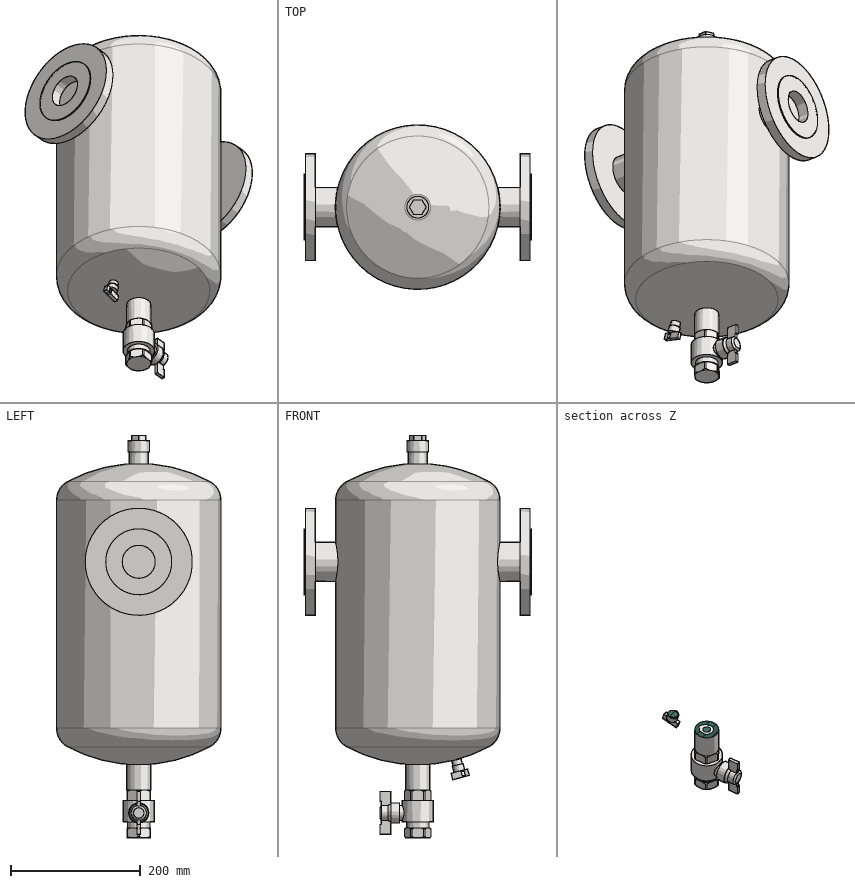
import cadquery as cq
import math

TOTAL_HEIGHT = 620.0
TOTAL_LENGTH = 350.0

VESSEL_DIAMETER = 253.5
VESSEL_RADIUS = VESSEL_DIAMETER / 2
LOWER_SEAM_Z = 169.0
UPPER_SEAM_Z = 520.0
CROWN_RADIUS = 229.5
KNUCKLE_RADIUS = 33.0
TOP_FLAT_RADIUS = 20.0

NOZZLE_Z = 425.5
NOZZLE_RADIUS = 30.5
NOZZLE_BORE_RADIUS = 25.5
FLANGE_RADIUS = 82.5
FLANGE_THICKNESS = 15.5
RAISED_FACE_RADIUS = 51.0
RAISED_FACE_HEIGHT = 2.0

VENT_STEM_RADIUS = 15.0
VENT_CAP_RADIUS = 17.0
VENT_CAP_BOTTOM_Z = 594.5
VENT_CAP_TOP_Z = 612.0
VENT_HEX_FLATS = 22.5
VENT_HEX_CORNERS = 25.5

DRAIN_PIPE_RADIUS = 18.5
VALVE_HEX_FLATS = 36.5
VALVE_HEX_CORNERS = 41.0
LOWER_HEX_HEIGHT = 15.5
VALVE_NECK_RADIUS = 17.5
VALVE_BODY_BOTTOM_Z = 25.0
VALVE_BODY_TOP_Z = 57.5
VALVE_BODY_RADIUS = 24.0
UPPER_HEX_TOP_Z = 74.0
VALVE_HEX_CHAMFER = 2.0

SPINDLE_Z = 38.5
SPINDLE_RADIUS = 12.0
SPINDLE_COLLAR_RADIUS = 15.5
COLLAR_INNER_REACH = 28.0
COLLAR_OUTER_REACH = 41.5

HANDLE_REACH = 58.0
HUB_TIP_RADIUS = 8.0
HUB_RADIUS = 12.0
HUB_TIP_CHAMFER = 2.5
HUB_FLARE_LENGTH = 4.5
HUB_FLARE_RADIUS = 14.0
WING_SPAN = 66.5
WING_THICKNESS = 5.0
WING_NOTCH_SPAN = 35.5
WING_NOTCH_DEPTH = 2.0

COCK_ANGLE = 15.0
COCK_STEM_RADIUS = 7.5
COCK_STEM_LENGTH = 8.0
COCK_BODY_RADIUS = 8.5
COCK_BODY_LENGTH = 10.0
COCK_CAP_WIDTH = 26.5
COCK_CAP_LENGTH = 10.5
COCK_CAP_THICKNESS = 6.0
CAP_WINDOW_WIDTH = 4.5
CAP_WINDOW_LENGTH = 7.0
CAP_WINDOW_OFFSET = 5.0

KNUCKLE_CENTRE_RADIUS = VESSEL_RADIUS - KNUCKLE_RADIUS
CROWN_ANGLE = math.asin(KNUCKLE_CENTRE_RADIUS / (CROWN_RADIUS - KNUCKLE_RADIUS))
CROWN_CENTRE_DROP = (CROWN_RADIUS - KNUCKLE_RADIUS) * math.cos(CROWN_ANGLE)
UPPER_CROWN_CENTRE_Z = UPPER_SEAM_Z - CROWN_CENTRE_DROP
LOWER_CROWN_CENTRE_Z = LOWER_SEAM_Z + CROWN_CENTRE_DROP


def cylinder_z(radius, bottom, top):
    """Cylinder on the vessel axis between two heights."""
    return cq.Workplane("XY").workplane(offset=bottom).circle(radius).extrude(top - bottom)


def cylinder_minus_x(radius, inner_reach, outer_reach):
    """Cylinder on the spindle axis between two distances from the vessel axis."""
    start = cq.Workplane("YZ", origin=(-outer_reach, 0, SPINDLE_Z))
    return start.circle(radius).extrude(outer_reach - inner_reach)


def hexagon_z(across_flats, across_corners, bottom, top):
    """Hexagonal prism, two corners on the X direction, with the corners turned down to a round."""
    height = top - bottom
    plane = cq.Workplane("XY").workplane(offset=bottom)
    prism = plane.polygon(6, across_flats / math.cos(math.pi / 6)).extrude(height)
    return prism.intersect(plane.circle(across_corners / 2).extrude(height))


def valve_hexagon(bottom, top, chamfered_ends):
    """Spanner hexagon of the valve, its corners bevelled at the selected end faces."""
    hexagon = hexagon_z(VALVE_HEX_FLATS, VALVE_HEX_CORNERS, bottom, top)
    blank = cylinder_z(VALVE_HEX_CORNERS / 2, bottom, top)
    return hexagon.intersect(blank.faces(chamfered_ends).chamfer(VALVE_HEX_CHAMFER))


def arc_point(centre_r, centre_z, radius, angle, direction):
    """Point (r, z) on a head arc, at an angle from the vessel axis; direction is +1 up, -1 down."""
    return centre_r + radius * math.sin(angle), centre_z + direction * radius * math.cos(angle)


def make_vessel():
    """Solid of revolution: flat-topped upper head, cylinder and lower head."""
    knuckle_middle_angle = (CROWN_ANGLE + math.pi / 2) / 2
    flat_angle = math.asin(TOP_FLAT_RADIUS / CROWN_RADIUS)

    def upper_crown(angle):
        return arc_point(0, UPPER_CROWN_CENTRE_Z, CROWN_RADIUS, angle, 1)

    def lower_crown(angle):
        return arc_point(0, LOWER_CROWN_CENTRE_Z, CROWN_RADIUS, angle, -1)

    def knuckle_middle(seam_z, direction):
        return arc_point(KNUCKLE_CENTRE_RADIUS, seam_z, KNUCKLE_RADIUS, knuckle_middle_angle, direction)

    flat_edge = upper_crown(flat_angle)
    profile = (
        cq.Workplane("XZ")
        .moveTo(*lower_crown(0))
        .threePointArc(lower_crown(CROWN_ANGLE / 2), lower_crown(CROWN_ANGLE))
        .threePointArc(knuckle_middle(LOWER_SEAM_Z, -1), (VESSEL_RADIUS, LOWER_SEAM_Z))
        .lineTo(VESSEL_RADIUS, UPPER_SEAM_Z)
        .threePointArc(knuckle_middle(UPPER_SEAM_Z, 1), upper_crown(CROWN_ANGLE))
        .threePointArc(upper_crown((CROWN_ANGLE + flat_angle) / 2), flat_edge)
        .lineTo(0, flat_edge[1])
        .close()
    )
    return profile.revolve(360, (0, 0, 0), (0, 1, 0))


def make_nozzle(side, vessel):
    """Nozzle pipe with its flange; side is +1 or -1 along X."""
    face_x = TOTAL_LENGTH / 2
    flange_front_x = face_x - RAISED_FACE_HEIGHT
    flange_back_x = flange_front_x - FLANGE_THICKNESS

    def disc(radius, inner_x, outer_x):
        plane = cq.Workplane("YZ", origin=(side * inner_x, 0, NOZZLE_Z))
        return plane.circle(radius).extrude(side * (outer_x - inner_x))

    pipe_start_x = VESSEL_RADIUS - NOZZLE_RADIUS
    nozzle = disc(NOZZLE_RADIUS, pipe_start_x, flange_back_x)
    nozzle = nozzle.union(disc(FLANGE_RADIUS, flange_back_x, flange_front_x))
    nozzle = nozzle.union(disc(RAISED_FACE_RADIUS, flange_front_x, face_x))
    bore = disc(NOZZLE_BORE_RADIUS, flange_back_x, face_x)
    return nozzle.cut(bore).cut(vessel)


def make_vent(vessel):
    """Stem, round cap and hexagon head, standing on the flat of the upper head."""
    vent = cylinder_z(VENT_STEM_RADIUS, UPPER_SEAM_Z, VENT_CAP_BOTTOM_Z)
    vent = vent.union(cylinder_z(VENT_CAP_RADIUS, VENT_CAP_BOTTOM_Z, VENT_CAP_TOP_Z))
    vent = vent.union(hexagon_z(VENT_HEX_FLATS, VENT_HEX_CORNERS, VENT_CAP_TOP_Z, TOTAL_HEIGHT))
    return vent.cut(vessel)


def make_drain_valve(vessel):
    """Drain pipe, valve body between two hexagons, and the spindle with its collar."""
    valve = valve_hexagon(0, LOWER_HEX_HEIGHT, "<Z or >Z")
    valve = valve.union(cylinder_z(VALVE_NECK_RADIUS, LOWER_HEX_HEIGHT, VALVE_BODY_BOTTOM_Z))
    valve = valve.union(cylinder_z(VALVE_BODY_RADIUS, VALVE_BODY_BOTTOM_Z, VALVE_BODY_TOP_Z))
    valve = valve.union(valve_hexagon(VALVE_BODY_TOP_Z, UPPER_HEX_TOP_Z, ">Z"))
    valve = valve.union(cylinder_z(DRAIN_PIPE_RADIUS, UPPER_HEX_TOP_Z, LOWER_SEAM_Z))
    valve = valve.union(cylinder_minus_x(SPINDLE_RADIUS, 0, COLLAR_INNER_REACH))
    valve = valve.union(cylinder_minus_x(SPINDLE_COLLAR_RADIUS, COLLAR_INNER_REACH, COLLAR_OUTER_REACH))
    return valve.cut(vessel)


def make_handle():
    """Hub on the spindle collar with one flat wing up and one down."""
    hub = cylinder_minus_x(HUB_RADIUS, COLLAR_OUTER_REACH, HANDLE_REACH)
    hub = hub.faces("<X").chamfer(HUB_TIP_CHAMFER, HUB_RADIUS - HUB_TIP_RADIUS)
    flare = (
        cq.Workplane("YZ", origin=(-COLLAR_OUTER_REACH, 0, SPINDLE_Z))
        .circle(HUB_FLARE_RADIUS)
        .workplane(offset=-HUB_FLARE_LENGTH)
        .circle(HUB_RADIUS)
        .loft()
    )
    wing_depth = HANDLE_REACH - COLLAR_OUTER_REACH
    wings = cq.Workplane("XY").box(wing_depth, WING_THICKNESS, WING_SPAN)
    notch = cq.Workplane("XY").box(2 * WING_NOTCH_DEPTH, WING_THICKNESS, WING_NOTCH_SPAN)
    wings = wings.cut(notch.translate((-wing_depth / 2, 0, 0)))
    wings = wings.translate((-(COLLAR_OUTER_REACH + HANDLE_REACH) / 2, 0, SPINDLE_Z))
    return hub.union(flare).union(wings)


def make_drain_cock(vessel):
    """Cock built along -Z under the lower crown, then swung about the crown centre."""
    crown_z = LOWER_CROWN_CENTRE_Z - CROWN_RADIUS
    body_top = crown_z - COCK_STEM_LENGTH
    cap_top = body_top - COCK_BODY_LENGTH
    cap_middle = cap_top - COCK_CAP_LENGTH / 2

    cock = cylinder_z(COCK_STEM_RADIUS, body_top, LOWER_SEAM_Z)
    cock = cock.union(cylinder_z(COCK_BODY_RADIUS, cap_top, body_top))
    cap = cq.Workplane("XY").box(COCK_CAP_WIDTH, COCK_CAP_THICKNESS, COCK_CAP_LENGTH)
    window = cq.Workplane("XY").box(CAP_WINDOW_WIDTH, COCK_CAP_THICKNESS, CAP_WINDOW_LENGTH)
    cap = cap.cut(window.translate((CAP_WINDOW_OFFSET, 0, 0)))
    cock = cock.union(cap.translate((0, 0, cap_middle)))

    crown_centre = (0, 0, LOWER_CROWN_CENTRE_Z)
    axis_end = (0, 1, LOWER_CROWN_CENTRE_Z)
    return cock.rotate(crown_centre, axis_end, -COCK_ANGLE).cut(vessel)


vessel = make_vessel()
nozzles = [make_nozzle(side, vessel) for side in (-1, 1)]
vent = make_vent(vessel)
drain_valve = make_drain_valve(vessel)
handle = make_handle()
drain_cock = make_drain_cock(vessel)

result = cq.Compound.makeCompound(
    [
        vessel.val(),
        *[nozzle.val() for nozzle in nozzles],
        vent.val(),
        drain_valve.val(),
        handle.val(),
        drain_cock.val(),
    ]
)